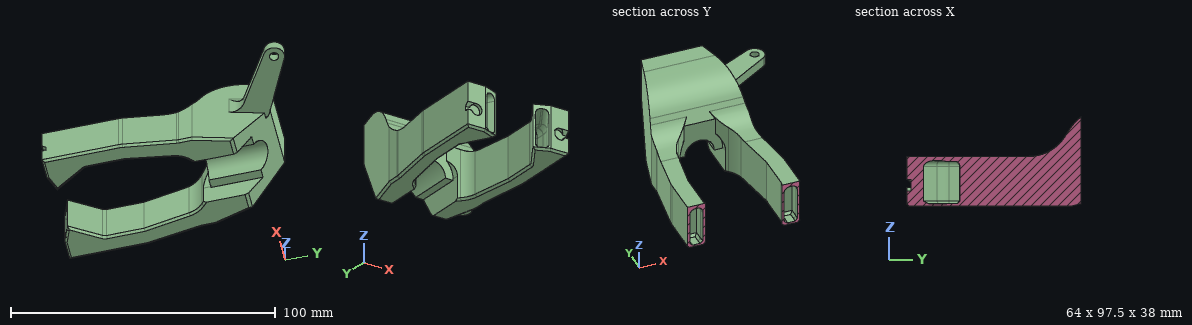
import cadquery as cq
import math

BODY_LENGTH = 86.0
BODY_HEIGHT = 38.0
ARM_HEIGHT = 18.9
BACK_FACE_BOTTOM = 21.5
BACK_SLOPE_FOOT_Y = 72.2
CROWN_START_Y = 78.1
CROWN_RADIUS = 20.0
SADDLE_RADIUS = 16.1
SHOULDER_ANGLE = math.radians(58)
BASE_CHAMFER = 0.9

BACK_HALF_WIDTH = 12.5
BODY_HALF_WIDTH = 20.0
ARM_HALF_WIDTH = 23.0
TAPER_END_Y = 57.6
WAIST_Y = 52.0
ARM_STRAIGHT_Y = 30.6
WAIST_FILLET = 5.0
ARM_BEND_FILLET = 10.0

THROAT_Y = 58.1
THROAT_HALF_WIDTH = 6.4
THROAT_CORNER = (12.6, 52.0)
OPENING_HALF_WIDTH = 16.0
OPENING_STRAIGHT_Y = 30.6
JAW_START_Y = 15.2
JAW_TIP = (8.4, 2.6)
JAW_FLAT_X = 14.9
THROAT_FILLET = 10.0
JAW_FILLET = 3.0

TUNNEL_AXIS_Z = 9.5
TUNNEL_RADIUS = 5.95
SEAT_AXIS_Z = 10.1
SEAT_RADIUS = 9.4

POCKET_WALL = 0.95
POCKET_WIDTH = 5.1
POCKET_BOTTOM = 1.0
POCKET_TOP = 17.2
POCKET_TOP_FILLET = 2.2
POCKET_BOTTOM_CHAMFER = 1.0
POCKET_END_Y = 20.0

RECESS_X = 19.0
RECESS_Z = 8.0
RECESS_RADIUS = 2.4
RECESS_DEPTH = 1.6
NOTCH_BOTTOM = 7.1
NOTCH_INNER_TOP = 8.85

LEVER_EYE = (37.0, 93.5)
LEVER_EYE_RADIUS = 4.0
LEVER_HOLE_RADIUS = 1.7
LEVER_ROOT = (15.0, 81.25)
LEVER_ROOT_RADIUS = 5.3
LEVER_BOTTOM = 18.5
LEVER_THICKNESS = 4.1
LEVER_BLEND_RADIUS = 5.0
LEVER_FLARE_RADIUS = 5.8

MARGIN = 1.0

TAPER_LENGTH = math.hypot(BODY_HALF_WIDTH - BACK_HALF_WIDTH, BODY_LENGTH - TAPER_END_Y)
SIDE = (
    (BODY_HALF_WIDTH - BACK_HALF_WIDTH) / TAPER_LENGTH,
    (TAPER_END_Y - BODY_LENGTH) / TAPER_LENGTH,
)


def mirrored(shape):
    """The shape together with its mirror image about X = 0."""
    return shape.union(shape.mirror("YZ"))


def prism(points, bottom, top):
    return cq.Workplane("XY").workplane(offset=bottom).polyline(points).close().extrude(top - bottom)


def fillet_upright_edge(solid, point, radius):
    """Round the vertical edge that passes nearest to a plan point."""
    nearest = cq.selectors.NearestToPointSelector((point[0], point[1], BODY_HEIGHT / 2))
    return solid.edges("|Z").edges(nearest).fillet(radius)


def plan_half():
    """The right half of the plan, full height, with its vertical edges rounded."""
    waist = (BODY_HALF_WIDTH, WAIST_Y)
    arm_bend = (ARM_HALF_WIDTH, ARM_STRAIGHT_Y)
    jaw_start = (OPENING_HALF_WIDTH, JAW_START_Y)
    outline = [
        (0, BODY_LENGTH),
        (BACK_HALF_WIDTH, BODY_LENGTH),
        (BODY_HALF_WIDTH, TAPER_END_Y),
        waist,
        arm_bend,
        (ARM_HALF_WIDTH, 0),
        (JAW_FLAT_X, 0),
        JAW_TIP,
        jaw_start,
        (OPENING_HALF_WIDTH, OPENING_STRAIGHT_Y),
        THROAT_CORNER,
        (THROAT_HALF_WIDTH, THROAT_Y),
        (0, THROAT_Y),
    ]
    half = prism(outline, 0, BODY_HEIGHT)
    half = fillet_upright_edge(half, waist, WAIST_FILLET)
    half = fillet_upright_edge(half, arm_bend, ARM_BEND_FILLET)
    half = fillet_upright_edge(half, jaw_start, JAW_FILLET)
    return fillet_upright_edge(half, THROAT_CORNER, THROAT_FILLET)


def saddle_start():
    """Y and Z where the straight shoulder slope runs into the hollow saddle."""
    crown_end_y = CROWN_START_Y - CROWN_RADIUS * math.sin(SHOULDER_ANGLE)
    crown_end_z = BODY_HEIGHT - CROWN_RADIUS * (1 - math.cos(SHOULDER_ANGLE))
    start_z = ARM_HEIGHT + SADDLE_RADIUS * (1 - math.cos(SHOULDER_ANGLE))
    start_y = crown_end_y - (crown_end_z - start_z) / math.tan(SHOULDER_ANGLE)
    return start_y, start_z


def side_profile():
    """The outline seen along X: sloped back, round crown, hollow saddle and level arms."""
    sine = math.sin(SHOULDER_ANGLE)
    cosine = math.cos(SHOULDER_ANGLE)
    half_sine = math.sin(SHOULDER_ANGLE / 2)
    half_cosine = math.cos(SHOULDER_ANGLE / 2)
    crown_end_y = CROWN_START_Y - CROWN_RADIUS * sine
    crown_end_z = BODY_HEIGHT - CROWN_RADIUS * (1 - cosine)
    saddle_start_y, saddle_start_z = saddle_start()
    saddle_end_y = saddle_start_y - SADDLE_RADIUS * sine
    crown_middle = (
        CROWN_START_Y - CROWN_RADIUS * half_sine,
        BODY_HEIGHT - CROWN_RADIUS * (1 - half_cosine),
    )
    saddle_middle = (
        saddle_end_y + SADDLE_RADIUS * half_sine,
        ARM_HEIGHT + SADDLE_RADIUS * (1 - half_cosine),
    )
    return (
        cq.Workplane("YZ")
        .moveTo(0, 0)
        .lineTo(BACK_SLOPE_FOOT_Y, 0)
        .lineTo(BODY_LENGTH, BACK_FACE_BOTTOM)
        .lineTo(BODY_LENGTH, BODY_HEIGHT)
        .lineTo(CROWN_START_Y, BODY_HEIGHT)
        .threePointArc(crown_middle, (crown_end_y, crown_end_z))
        .lineTo(saddle_start_y, saddle_start_z)
        .threePointArc(saddle_middle, (saddle_end_y, ARM_HEIGHT))
        .lineTo(0, ARM_HEIGHT)
        .close()
        .extrude(ARM_HALF_WIDTH + MARGIN, both=True)
    )


def fork():
    """Body and both arms, with the edge of the base chamfered all round."""
    blank = mirrored(plan_half()).intersect(side_profile())
    return blank.faces("<Z").edges().chamfer(BASE_CHAMFER)


def throat_facet():
    """Sliver that carries the straight shoulder slope down to the throat, between its slanted sides."""
    start_y, start_z = saddle_start()
    throat_top = start_z - (start_y - THROAT_Y) * math.tan(SHOULDER_ANGLE)
    flank = (THROAT_CORNER[0] - THROAT_HALF_WIDTH) / (THROAT_Y - THROAT_CORNER[1])
    start_half_width = THROAT_HALF_WIDTH - (start_y - THROAT_Y) * flank
    outline = [
        (-THROAT_HALF_WIDTH, THROAT_Y),
        (THROAT_HALF_WIDTH, THROAT_Y),
        (start_half_width, start_y),
        (-start_half_width, start_y),
    ]
    above_slope = (
        cq.Workplane("YZ")
        .polyline([(THROAT_Y, throat_top), (start_y, start_z), (THROAT_Y, start_z)])
        .close()
        .extrude(THROAT_HALF_WIDTH, both=True)
    )
    return prism(outline, 0, BODY_HEIGHT).intersect(above_slope)


def passage(radius, axis_z, end_y):
    """Round-topped passage along Y, open at the base, from in front of the throat to a given Y."""
    bore = cq.Workplane("XZ", origin=(0, WAIST_Y, axis_z)).circle(radius).extrude(WAIST_Y - end_y)
    return bore.union(slab(radius, axis_z, end_y))


def slab(half_width, top, end_y):
    """Block standing on the base, from in front of the throat to a given Y."""
    block = cq.Workplane("XY", origin=(0, WAIST_Y, 0))
    return block.box(2 * half_width, end_y - WAIST_Y, top, centered=(True, False, False))


def tunnel():
    """Wide seat up to the throat wall, narrow arch through it, and a channel below both."""
    back = BODY_LENGTH + MARGIN
    seat = passage(SEAT_RADIUS, SEAT_AXIS_Z, THROAT_Y)
    arch = passage(TUNNEL_RADIUS, TUNNEL_AXIS_Z, back)
    channel = slab(SEAT_RADIUS, TUNNEL_AXIS_Z, back)
    return seat.union(arch).union(channel)


def jaw_pocket():
    """Slot running into the right jaw beside its slanted inner face, then on into the arm."""
    run_x = OPENING_HALF_WIDTH - JAW_TIP[0]
    run_y = JAW_START_Y - JAW_TIP[1]
    run = math.hypot(run_x, run_y)
    along = (run_x / run, run_y / run)
    bend_tangent = math.tan(math.atan2(run_x, run_y) / 2)
    lead = POCKET_WIDTH

    def mouth(offset):
        """Point in front of the jaw tip, at an offset into the jaw from its inner face."""
        return (
            JAW_TIP[0] + along[1] * offset - along[0] * lead,
            JAW_TIP[1] - along[0] * offset - along[1] * lead,
        )

    def bend(offset):
        """Corner of the inner outline of the jaw and arm, moved inwards by an offset."""
        return (OPENING_HALF_WIDTH + offset, JAW_START_Y - offset * bend_tangent)

    inner = POCKET_WALL
    outer = POCKET_WALL + POCKET_WIDTH
    outline = [
        mouth(inner),
        bend(inner),
        (bend(inner)[0], POCKET_END_Y),
        (bend(outer)[0], POCKET_END_Y),
        bend(outer),
        mouth(outer),
    ]
    pocket = prism(outline, POCKET_BOTTOM, POCKET_TOP)
    pocket = fillet_upright_edge(pocket, bend(inner), JAW_FILLET + inner)
    pocket = fillet_upright_edge(pocket, bend(outer), JAW_FILLET + outer)
    pocket = pocket.faces(">Z").edges().fillet(POCKET_TOP_FILLET)
    return pocket.faces("<Z").edges().chamfer(POCKET_BOTTOM_CHAMFER)


def end_recess():
    """Round recess in the end of the right arm, with a slope-topped notch out to its side."""
    recess = cq.Workplane("XZ").center(RECESS_X, RECESS_Z).circle(RECESS_RADIUS).extrude(-RECESS_DEPTH)
    notch = (
        cq.Workplane("YZ", origin=(RECESS_X, 0, 0))
        .moveTo(0, NOTCH_BOTTOM)
        .lineTo(RECESS_DEPTH, NOTCH_BOTTOM)
        .lineTo(RECESS_DEPTH, NOTCH_INNER_TOP)
        .lineTo(0, RECESS_Z + RECESS_RADIUS)
        .close()
        .extrude(ARM_HALF_WIDTH + MARGIN - RECESS_X)
    )
    return recess.union(notch)


def rim(center, radius, angle):
    """Point on a circle."""
    return (center[0] + radius * math.cos(angle), center[1] + radius * math.sin(angle))


def shifted(point, direction, distance):
    return (point[0] + direction[0] * distance, point[1] + direction[1] * distance)


def lever_plan(height):
    """Tapered link from its rounded root inside the body to its round eye, flared onto the body side."""
    reach_x = LEVER_EYE[0] - LEVER_ROOT[0]
    reach_y = LEVER_EYE[1] - LEVER_ROOT[1]
    heading = math.atan2(reach_y, reach_x)
    spread = math.acos((LEVER_ROOT_RADIUS - LEVER_EYE_RADIUS) / math.hypot(reach_x, reach_y))
    upper = heading + spread
    lower = heading - spread
    front_edge = (-math.sin(lower), math.cos(lower))
    front_start = rim(LEVER_ROOT, LEVER_ROOT_RADIUS, lower)

    gap_x = front_start[0] - BACK_HALF_WIDTH
    gap_y = front_start[1] - BODY_LENGTH
    to_side = (gap_y * SIDE[0] - gap_x * SIDE[1]) / (front_edge[0] * SIDE[1] - front_edge[1] * SIDE[0])
    corner = shifted(front_start, front_edge, to_side)

    half_angle = math.acos(front_edge[0] * SIDE[0] + front_edge[1] * SIDE[1]) / 2
    flare_length = LEVER_FLARE_RADIUS / math.tan(half_angle)
    bisector = (
        (front_edge[0] + SIDE[0]) / (2 * math.cos(half_angle)),
        (front_edge[1] + SIDE[1]) / (2 * math.cos(half_angle)),
    )
    flare_middle = shifted(corner, bisector, LEVER_FLARE_RADIUS * (1 / math.sin(half_angle) - 1))
    flare_end = shifted(corner, SIDE, flare_length)

    return (
        cq.Workplane("XY", origin=(0, 0, LEVER_BOTTOM))
        .moveTo(*shifted(corner, front_edge, flare_length))
        .lineTo(*rim(LEVER_EYE, LEVER_EYE_RADIUS, lower))
        .threePointArc(
            rim(LEVER_EYE, LEVER_EYE_RADIUS, heading),
            rim(LEVER_EYE, LEVER_EYE_RADIUS, upper),
        )
        .lineTo(*rim(LEVER_ROOT, LEVER_ROOT_RADIUS, upper))
        .threePointArc(
            rim(LEVER_ROOT, LEVER_ROOT_RADIUS, (upper + heading + math.pi) / 2),
            rim(LEVER_ROOT, LEVER_ROOT_RADIUS, heading + math.pi),
        )
        .lineTo(rim(LEVER_ROOT, LEVER_ROOT_RADIUS, heading + math.pi)[0], flare_end[1])
        .lineTo(*flare_end)
        .threePointArc(flare_middle, shifted(corner, front_edge, flare_length))
        .close()
        .extrude(height)
    )


def lever_blend():
    """Hollow quarter-round ramp from the top of the lever up the body side."""
    radius = LEVER_BLEND_RADIUS
    back_corner = (BACK_HALF_WIDTH, BODY_LENGTH, LEVER_BOTTOM + LEVER_THICKNESS)
    start = cq.Vector(*back_corner) - cq.Vector(*SIDE, 0) * radius
    plane = cq.Plane(origin=start, xDir=(-SIDE[1], SIDE[0], 0), normal=(*SIDE, 0))
    chord = radius * (1 - math.sqrt(0.5))
    ramp = (
        cq.Workplane(plane)
        .moveTo(radius, 0)
        .threePointArc((chord, chord), (0, radius))
        .lineTo(-MARGIN, radius)
        .lineTo(-MARGIN, 0)
        .close()
        .extrude(TAPER_LENGTH)
    )
    return ramp.intersect(lever_plan(LEVER_THICKNESS + radius))


def lever_hole():
    return cq.Workplane("XY").center(*LEVER_EYE).circle(LEVER_HOLE_RADIUS).extrude(BODY_HEIGHT)


result = (
    fork()
    .cut(throat_facet())
    .union(lever_plan(LEVER_THICKNESS))
    .union(lever_blend())
    .cut(lever_hole())
    .cut(tunnel())
    .cut(mirrored(jaw_pocket()))
    .cut(mirrored(end_recess()))
)